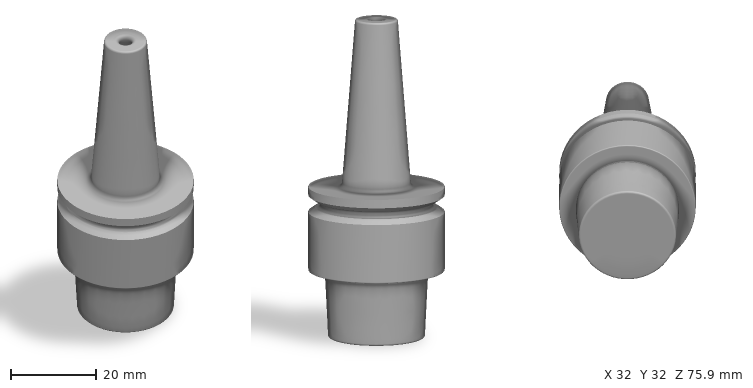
import cadquery as cq


flange_radius = 16.0
flange_top = 20.0
seat_edge_fillet = 0.25

groove_centre = 16.0
groove_mouth_width = 4.0
groove_floor_width = 1.8
groove_shoulder_radius = 14.4
groove_root_radius = 13.25
groove_root_fillet = 0.6

nose_top = 60.0
nose_tip_radius = 5.0
nose_base_radius = 8.15
nose_tip_fillet = 0.5
nose_base_fillet = 1.0

shank_bottom = -15.9
shank_taper = 1 / 9.98
shank_top_radius = 12.1
shank_end_fillet = 0.5
neck_radius = 12.03
neck_length = 0.6
neck_relief_length = 0.3

hole_radius = 1.5
hole_depth = 10.0
hole_mouth_fillet = 1.0


def frustum(bottom, top, bottom_radius, top_radius):
    """Solid cone section about Z between two heights."""
    outline = [(0, bottom), (bottom_radius, bottom), (top_radius, top), (0, top)]
    return cq.Workplane("XZ").polyline(outline).close().revolve(360, (0, 0), (0, 1))


def make_flange():
    body = cq.Workplane("XY").circle(flange_radius).extrude(flange_top)
    return body.faces("<Z").edges().fillet(seat_edge_fillet)


def make_groove():
    """Ring to remove: sloped outer flanks, square inner walls, filleted root."""
    half_mouth = groove_mouth_width / 2
    half_floor = groove_floor_width / 2
    half_root_flat = half_floor - groove_root_fillet
    wall_end_radius = groove_root_radius + groove_root_fillet
    profile = (
        cq.Workplane("XZ")
        .moveTo(flange_radius, groove_centre + half_mouth)
        .lineTo(groove_shoulder_radius, groove_centre + half_floor)
        .lineTo(wall_end_radius, groove_centre + half_floor)
        .radiusArc((groove_root_radius, groove_centre + half_root_flat), -groove_root_fillet)
        .lineTo(groove_root_radius, groove_centre - half_root_flat)
        .radiusArc((wall_end_radius, groove_centre - half_floor), -groove_root_fillet)
        .lineTo(groove_shoulder_radius, groove_centre - half_floor)
        .lineTo(flange_radius, groove_centre - half_mouth)
        .close()
    )
    return profile.revolve(360, (0, 0), (0, 1))


def make_nose():
    nose = frustum(flange_top, nose_top, nose_base_radius, nose_tip_radius)
    return nose.faces(">Z").edges().fillet(nose_tip_fillet)


def round_nose_base(body):
    """Blend the nose into the top of the flange."""
    flange_face = cq.selectors.NearestToPointSelector((0, 0, flange_top))
    nose_circle = cq.selectors.RadiusNthSelector(0)
    return body.faces(flange_face).edges(nose_circle).fillet(nose_base_fillet)


def make_shank():
    neck = frustum(-neck_length, 0, neck_radius, neck_radius)
    cone_top = -neck_length - neck_relief_length
    relief = frustum(cone_top, -neck_length, shank_top_radius, neck_radius)
    end_radius = shank_top_radius - (cone_top - shank_bottom) * shank_taper / 2
    cone = frustum(shank_bottom, cone_top, end_radius, shank_top_radius)
    cone = cone.faces("<Z").edges().fillet(shank_end_fillet)
    return neck.union(relief).union(cone)


def cut_tip_hole(body):
    drilled = body.faces(">Z").workplane().hole(2 * hole_radius, hole_depth)
    mouth = cq.selectors.RadiusNthSelector(0)
    return drilled.faces(">Z").edges(mouth).fillet(hole_mouth_fillet)


holder = make_flange().cut(make_groove()).union(make_nose())
holder = round_nose_base(holder)
holder = holder.union(make_shank())
result = cut_tip_hole(holder)